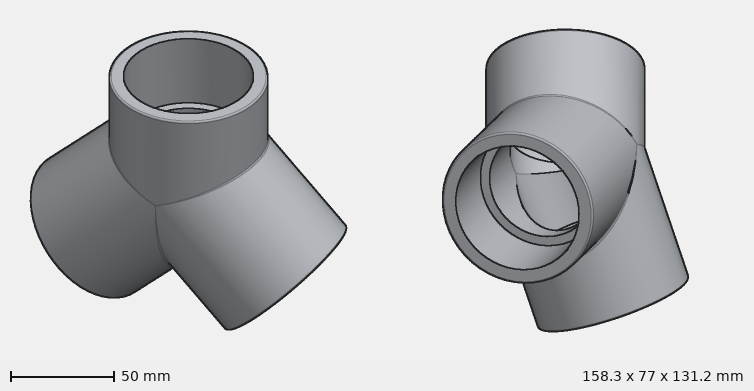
import cadquery as cq
import math

overall_width = 158.3
overall_height = 131.2
outer_diameter = 77.0
socket_diameter = 63.0
bore_diameter = 53.7
socket_depth = 38.0
branch_tilt = 135.0
rim_fillet = 1.0
joint_fillet = 1.6

rim_loss = rim_fillet * (2 - math.sqrt(2))
branch_length = overall_width / math.sqrt(2) - outer_diameter / 2 + rim_loss
top_length = overall_height - overall_width / 2

arms = [
    (0.0, top_length),
    (branch_tilt, branch_length),
    (-branch_tilt, branch_length),
]


def outer_arm(angle, length):
    """Solid pipe from the meeting point, with its outer rim rounded."""
    pipe = cq.Workplane("XY").circle(outer_diameter / 2).extrude(length)
    pipe = pipe.faces(">Z").edges().fillet(rim_fillet)
    return pipe.rotate((0, 0, 0), (0, 1, 0), angle)


def arm_cavity(angle, length):
    """Through bore with a wider pipe socket at the open end."""
    bore = cq.Workplane("XY").circle(bore_diameter / 2).extrude(length)
    socket = (
        cq.Workplane("XY")
        .workplane(offset=length - socket_depth)
        .circle(socket_diameter / 2)
        .extrude(socket_depth)
    )
    return bore.union(socket).rotate((0, 0, 0), (0, 1, 0), angle)


body = cq.Workplane("XY").sphere(outer_diameter / 2)
for angle, length in arms:
    body = body.union(outer_arm(angle, length))

body = body.edges("%ELLIPSE").fillet(joint_fillet)

result = body
for angle, length in arms:
    result = result.cut(arm_cavity(angle, length))